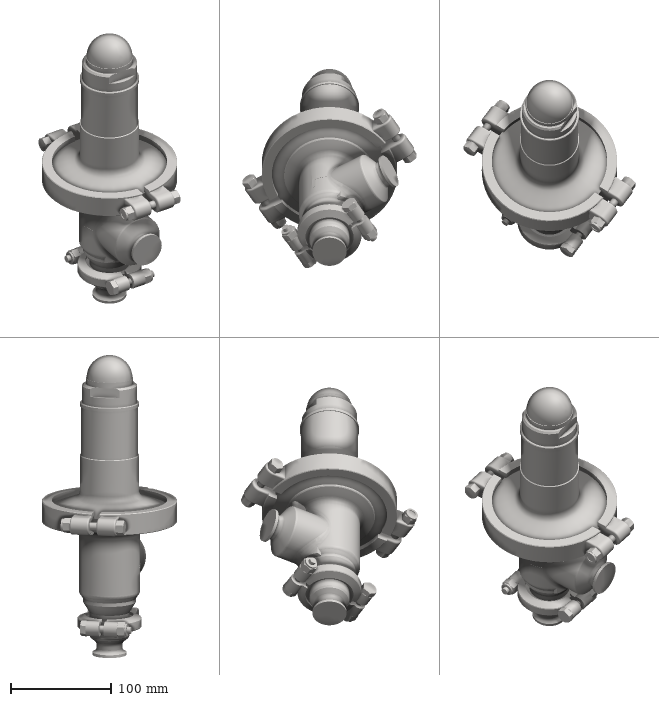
import cadquery as cq
import math

CAP_NECK_RADIUS = 23.5
CAP_RADIUS = 27.5
CAP_CHAMFER = 1.8
CAP_FLATS_WIDTH = 46.0
CAP_FLATS_DEPTH = 9.3
TUBE_RADIUS = 28.6
COLLAR_RADIUS = 29.5
COLLAR_CHAMFER = 0.6
BONNET_FILLET_RADIUS = 34.7
BONNET_FLANGE_RADIUS = 59.5
BONNET_FILLET = 7.5
BODY_SHOULDER_RADIUS = 28.9
BODY_SHOULDER_ROUND = 6.0
BODY_TOP_FILLET_RADIUS = 34.4
BODY_RADIUS = 30.5
BODY_COLLAR_RADIUS = 45.3
BODY_COLLAR_CHAMFER = 0.8
LOWER_NECK_RADIUS = 26.5
BOTTOM_NECK_RADIUS = 20.0
LOWER_FLANGE_RADIUS = 25.25

TOP_Z = 305.0
DOME_BASE_Z = 282.0
CAP_TOP_Z = 276.5
COLLAR_TOP_Z = 257.6
COLLAR_BOTTOM_Z = 253.9
BONNET_TOP_Z = 204.2
BONNET_FILLET_TOP_Z = 167.8
BONNET_FILLET_BOTTOM_Z = 160.2
BONNET_CONE_SLOPE = 0.375
BONNET_FLANGE_BOTTOM_Z = 141.5
BODY_TOP_FILLET_END_Z = 129.5
BODY_TOP_Z = 124.0
BODY_COLLAR_BOTTOM_Z = 133.2
BODY_END_Z = 66.1
BODY_SHOULDER_Z = 61.5
LOWER_NECK_TOP_Z = 57.8
LOWER_NECK_BOTTOM_Z = 54.2
LOWER_CONE_BOTTOM_Z = 43.7

PORT_FLANGE_RADIUS = 17.0
PORT_NECK_RADIUS = 13.0
PORT_FLANGE_THICKNESS = 2.8
PORT_TAPER_LENGTH = 1.4
PORT_TAPER_RADIUS = 14.6
PORT_FILLET_LENGTH = 2.4
BOTTOM_PORT_NECK_END_Z = 10.5
BOTTOM_PORT_CONE_RADIUS = 14.3
BOTTOM_PORT_CONE_TOP_Z = 17.6
BOTTOM_PORT_CONE_BOTTOM_Z = 13.8
BOTTOM_PORT_CONE_TOP_RADIUS = 19.0
BOTTOM_PORT_SHOULDER_Z = 19.9
OUTLET_Z = 90.3
OUTLET_FACE_X = 70.0
OUTLET_RADIUS = 26.5
OUTLET_END_X = 52.5
OUTLET_CONE_END_X = 59.6
OUTLET_CONE_END_RADIUS = 14.3
OUTLET_NECK_END_X = 61.1
OUTLET_ROUND = 1.7
OUTLET_ROUND_DROP = 0.8

OUTLET_BLEND = 8.0
BLEND_CORE_BOTTOM_Z = 50.0
BLEND_START_X = 20.0
BLEND_END_X = 40.0
BLEND_LOW_Z = 55.0
BLEND_LOW_WIDTH = 38.0

WEB_OUTER_X = 43.5
WEB_THICKNESS = 12.0
WEB_EDGE_FILLET = 4.6

ARROW_WIDTH = 4.5
ARROW_RELIEF = 0.2
ARROW_BOTTOM_Z = 75.8
ARROW_TOP_Z = 92.5
ARROW_LEFT_X = -2.3
ARROW_RIGHT_X = 13.0
ARROW_BEND_RADIUS = 5.0

LARGE_CLAMP_BOTTOM_Z = 135.6
LARGE_CLAMP_TOP_Z = 157.6
LARGE_CLAMP_RADIUS = 67.5
LARGE_CLAMP_LIP_RADIUS = 57.5
LARGE_CLAMP_EDGE = 0.7
LARGE_LUG_X = 76.15
LARGE_LUG_RADIUS = 8.85
LARGE_LUG_END_Y = 23.3
LARGE_LUG_FILLET = 1.7
LARGE_CLAMP_GAP = 8.0
LARGE_BOLT_DIAMETER = 8.0
LARGE_HEX_WIDTH = 13.0
LARGE_HEAD_LENGTH = 7.7
LARGE_BOLT_END_Y = 32.0

SMALL_CLAMP_Z = 33.2
SMALL_CLAMP_HEIGHT = 15.4
SMALL_CLAMP_EDGE = 0.6
SMALL_CLAMP_RIM_HEIGHT = 9.2
SMALL_CLAMP_RADIUS = 32.0
SMALL_CLAMP_LIP_RADIUS = 24.0
SMALL_LUG_X = 34.4
SMALL_LUG_RADIUS = 7.6
SMALL_LUG_END_Y = 16.0
SMALL_CLAMP_GAP = 5.0
SMALL_BOLT_DIAMETER = 7.0
SMALL_HEX_WIDTH = 14.0
SMALL_HEAD_LENGTH = 5.6
SMALL_BOLT_END_Y = 29.0

HEX_CHAMFER = 0.8
NUT_LENGTH = 7.4
NUT_COLLAR_LENGTH = 1.9
NUT_COLLAR_DIAMETER = 13.0

flange_top_z = BONNET_FILLET_BOTTOM_Z - BONNET_CONE_SLOPE * (BONNET_FLANGE_RADIUS - BONNET_FILLET_RADIUS)
flange_lip_z = flange_top_z + BONNET_CONE_SLOPE * (BONNET_FLANGE_RADIUS - LARGE_CLAMP_LIP_RADIUS)

port_taper_end = PORT_FLANGE_THICKNESS + PORT_TAPER_LENGTH
port_neck_start = port_taper_end + PORT_FILLET_LENGTH

ferrule_bottom_z = SMALL_CLAMP_Z - SMALL_CLAMP_RIM_HEIGHT / 2
ferrule_top_z = SMALL_CLAMP_Z + SMALL_CLAMP_RIM_HEIGHT / 2


def turned_valve():
    """Everything on the valve that is round about the Z axis, from the bottom port up to the dome."""
    dome_radius = TOP_Z - DOME_BASE_Z
    dome_middle = dome_radius * math.sqrt(0.5)
    profile = (
        cq.Workplane("XZ")
        .moveTo(0, 0)
        .lineTo(PORT_FLANGE_RADIUS, 0)
        .lineTo(PORT_FLANGE_RADIUS, PORT_FLANGE_THICKNESS)
        .lineTo(PORT_TAPER_RADIUS, port_taper_end)
        .tangentArcPoint((PORT_NECK_RADIUS, port_neck_start), relative=False)
        .lineTo(PORT_NECK_RADIUS, BOTTOM_PORT_NECK_END_Z)
        .tangentArcPoint((BOTTOM_PORT_CONE_RADIUS, BOTTOM_PORT_CONE_BOTTOM_Z), relative=False)
        .lineTo(BOTTOM_PORT_CONE_TOP_RADIUS, BOTTOM_PORT_CONE_TOP_Z)
        .lineTo(BOTTOM_NECK_RADIUS, BOTTOM_PORT_SHOULDER_Z)
        .lineTo(BOTTOM_NECK_RADIUS, ferrule_bottom_z)
        .lineTo(LOWER_FLANGE_RADIUS, ferrule_bottom_z)
        .lineTo(LOWER_FLANGE_RADIUS, ferrule_top_z)
        .lineTo(BOTTOM_NECK_RADIUS, ferrule_top_z)
        .lineTo(BOTTOM_NECK_RADIUS, LOWER_CONE_BOTTOM_Z)
        .lineTo(LOWER_NECK_RADIUS, LOWER_NECK_BOTTOM_Z)
        .lineTo(LOWER_NECK_RADIUS, LOWER_NECK_TOP_Z)
        .lineTo(BODY_SHOULDER_RADIUS, BODY_SHOULDER_Z)
        .radiusArc((BODY_RADIUS, BODY_END_Z), -BODY_SHOULDER_ROUND)
        .lineTo(BODY_RADIUS, BODY_TOP_Z)
        .tangentArcPoint((BODY_TOP_FILLET_RADIUS, BODY_TOP_FILLET_END_Z), relative=False)
        .lineTo(BODY_COLLAR_RADIUS - BODY_COLLAR_CHAMFER, BODY_COLLAR_BOTTOM_Z)
        .lineTo(BODY_COLLAR_RADIUS, BODY_COLLAR_BOTTOM_Z + BODY_COLLAR_CHAMFER)
        .lineTo(BODY_COLLAR_RADIUS, LARGE_CLAMP_BOTTOM_Z)
        .lineTo(BONNET_FLANGE_RADIUS, BONNET_FLANGE_BOTTOM_Z)
        .lineTo(BONNET_FLANGE_RADIUS, flange_top_z)
        .lineTo(BONNET_FILLET_RADIUS, BONNET_FILLET_BOTTOM_Z)
        .radiusArc((COLLAR_RADIUS, BONNET_FILLET_TOP_Z), BONNET_FILLET)
        .lineTo(COLLAR_RADIUS, BONNET_TOP_Z - COLLAR_CHAMFER)
        .lineTo(TUBE_RADIUS, BONNET_TOP_Z)
        .lineTo(TUBE_RADIUS, COLLAR_BOTTOM_Z)
        .lineTo(COLLAR_RADIUS, COLLAR_BOTTOM_Z)
        .lineTo(COLLAR_RADIUS, COLLAR_TOP_Z - COLLAR_CHAMFER)
        .lineTo(COLLAR_RADIUS - COLLAR_CHAMFER, COLLAR_TOP_Z)
        .lineTo(CAP_RADIUS, COLLAR_TOP_Z)
        .lineTo(CAP_RADIUS, CAP_TOP_Z - CAP_CHAMFER)
        .lineTo(CAP_RADIUS - CAP_CHAMFER, CAP_TOP_Z)
        .lineTo(CAP_NECK_RADIUS, CAP_TOP_Z)
        .lineTo(CAP_NECK_RADIUS, DOME_BASE_Z)
        .lineTo(dome_radius, DOME_BASE_Z)
        .threePointArc((dome_middle, DOME_BASE_Z + dome_middle), (0, TOP_Z))
        .close()
    )
    return profile.revolve(360, (0, 0, 0), (0, 1, 0))


def outlet_with_blend():
    """Round outlet pipe with a rounded blend into the cylinder of the body."""
    body_core = (
        cq.Workplane("XY", origin=(0, 0, BLEND_CORE_BOTTOM_Z))
        .circle(BODY_RADIUS)
        .extrude(BODY_TOP_Z - BLEND_CORE_BOTTOM_Z)
    )
    pipe = cq.Workplane("YZ", origin=(0, 0, OUTLET_Z)).circle(OUTLET_RADIUS)
    pipe = pipe.extrude(OUTLET_END_X - OUTLET_ROUND)
    seam = cq.selectors.BoxSelector(
        (1, -BODY_RADIUS, OUTLET_Z - OUTLET_RADIUS - 1),
        (BODY_RADIUS + 1, BODY_RADIUS, OUTLET_Z + OUTLET_RADIUS + 1),
    )
    joined = body_core.union(pipe).edges(seam).edges("not(%CIRCLE or %LINE)").fillet(OUTLET_BLEND)
    pipe_bottom_z = OUTLET_Z - OUTLET_RADIUS
    pipe_side = (
        cq.Workplane("XY", origin=(0, 0, BODY_END_Z))
        .rect(2 * OUTLET_END_X, 2 * BODY_RADIUS)
        .extrude(BODY_TOP_Z - BODY_END_Z)
    )
    low_wedge = (
        cq.Workplane("XZ")
        .moveTo(BLEND_START_X, BODY_END_Z)
        .lineTo(BLEND_START_X, BLEND_LOW_Z)
        .lineTo(BLEND_END_X, pipe_bottom_z)
        .lineTo(OUTLET_END_X, pipe_bottom_z)
        .lineTo(OUTLET_END_X, BODY_END_Z)
        .close()
        .extrude(BLEND_LOW_WIDTH / 2, both=True)
    )
    keep = pipe_side.union(low_wedge)
    return joined.intersect(keep)


def outlet_port():
    """Rounded end of the outlet pipe, its cone, narrow neck and flange."""
    profile = (
        cq.Workplane("XZ", origin=(0, 0, OUTLET_Z))
        .moveTo(OUTLET_END_X - 2 * OUTLET_ROUND, 0)
        .lineTo(OUTLET_END_X - 2 * OUTLET_ROUND, OUTLET_RADIUS)
        .lineTo(OUTLET_END_X - OUTLET_ROUND, OUTLET_RADIUS)
        .tangentArcPoint((OUTLET_END_X, OUTLET_RADIUS - OUTLET_ROUND_DROP), relative=False)
        .lineTo(OUTLET_CONE_END_X, OUTLET_CONE_END_RADIUS)
        .tangentArcPoint((OUTLET_NECK_END_X, PORT_NECK_RADIUS), relative=False)
        .lineTo(OUTLET_FACE_X - port_neck_start, PORT_NECK_RADIUS)
        .tangentArcPoint((OUTLET_FACE_X - port_taper_end, PORT_TAPER_RADIUS), relative=False)
        .lineTo(OUTLET_FACE_X - PORT_FLANGE_THICKNESS, PORT_FLANGE_RADIUS)
        .lineTo(OUTLET_FACE_X, PORT_FLANGE_RADIUS)
        .lineTo(OUTLET_FACE_X, 0)
        .close()
    )
    return profile.revolve(360, (0, 0, 0), (1, 0, 0))


def web():
    """Rounded rib that ties the outlet pipe to the underside of the body collar."""
    return (
        cq.Workplane("XY", origin=(WEB_OUTER_X / 2, 0, OUTLET_Z))
        .rect(WEB_OUTER_X, WEB_THICKNESS)
        .extrude(LARGE_CLAMP_BOTTOM_Z - OUTLET_Z)
        .edges("|Z and >X")
        .fillet(WEB_EDGE_FILLET)
    )


def flow_arrow():
    """Bent raised stroke on the -Y side of the body."""
    skin = BODY_RADIUS + ARROW_RELIEF
    stroke = (
        cq.Workplane("XZ")
        .moveTo(ARROW_LEFT_X, ARROW_BOTTOM_Z)
        .lineTo(ARROW_LEFT_X, ARROW_TOP_Z - ARROW_BEND_RADIUS)
        .radiusArc((ARROW_LEFT_X + ARROW_BEND_RADIUS, ARROW_TOP_Z), ARROW_BEND_RADIUS)
        .lineTo(ARROW_RIGHT_X, ARROW_TOP_Z)
        .lineTo(ARROW_RIGHT_X, ARROW_TOP_Z - ARROW_WIDTH)
        .lineTo(ARROW_LEFT_X + ARROW_WIDTH, ARROW_TOP_Z - ARROW_WIDTH)
        .lineTo(ARROW_LEFT_X + ARROW_WIDTH, ARROW_BOTTOM_Z)
        .close()
        .extrude(skin + 1)
    )
    shell = (
        cq.Workplane("XY", origin=(0, 0, ARROW_BOTTOM_Z))
        .circle(skin)
        .circle(skin - 1)
        .extrude(ARROW_TOP_Z - ARROW_BOTTOM_Z)
    )
    return stroke.intersect(shell)


def cap_flats():
    """Material outside the two wrench flats of the cap."""
    slab = cq.Workplane("XY", origin=(0, 0, CAP_TOP_Z - CAP_FLATS_DEPTH))
    outer = slab.rect(2 * COLLAR_RADIUS, 2 * COLLAR_RADIUS).extrude(CAP_FLATS_DEPTH)
    inner = slab.rect(CAP_FLATS_WIDTH, 2 * COLLAR_RADIUS).extrude(CAP_FLATS_DEPTH)
    return outer.cut(inner)


def disc(radius, bottom_z, top_z):
    """Cylinder on the Z axis from bottom_z to top_z."""
    return cq.Workplane("XY", origin=(0, 0, bottom_z)).circle(radius).extrude(top_z - bottom_z)


def rod_along_y(radius, start_y, end_y):
    """Cylinder on the Y axis from start_y to end_y."""
    return cq.Workplane("XZ", origin=(0, start_y, 0)).circle(radius).extrude(start_y - end_y)


def hexagon_along_y(width, length):
    """Chamfered hexagon from the XZ plane towards +Y, with flats facing -X and +X."""
    corner_diameter = width / math.cos(math.pi / 6)
    hexagon = (
        cq.Workplane("XZ")
        .transformed(rotate=(0, 0, 90))
        .polygon(6, corner_diameter)
        .extrude(-length)
    )
    envelope = rod_along_y(corner_diameter / 2, 0, length).faces(">Y").chamfer(HEX_CHAMFER)
    return hexagon.intersect(envelope)


def bolt(diameter, hex_width, lug_end_y, head_length, end_y):
    """Bolt and nut on the Y axis, with the head at +Y and the nut at -Y; the shank ends at -end_y."""
    nut_end_y = lug_end_y + NUT_LENGTH
    collar_end_y = nut_end_y + NUT_COLLAR_LENGTH
    head = hexagon_along_y(hex_width, head_length).translate((0, lug_end_y, 0))
    nut = hexagon_along_y(hex_width, NUT_LENGTH).mirror("XZ").translate((0, -lug_end_y, 0))
    collar = rod_along_y(NUT_COLLAR_DIAMETER / 2, -collar_end_y, -nut_end_y)
    bore = rod_along_y(diameter / 2, -collar_end_y, -nut_end_y)
    shank = rod_along_y(diameter / 2, -end_y, lug_end_y)
    return head.union(nut).union(collar.cut(bore)).union(shank)


def both_sides(part, x, z):
    """Place a part on the -X side and, turned half a turn about Z, on the +X side."""
    placed = part.translate((-x, 0, z))
    return [placed, placed.rotate((0, 0, 0), (0, 0, 1), 180)]


def make_valve():
    """Body 1: the valve with its outlet."""
    valve = turned_valve().cut(cap_flats())
    for feature in (outlet_with_blend(), outlet_port(), web(), flow_arrow()):
        valve = valve.union(feature)
    return valve


def large_lug():
    """Pair of eyes in one bar along Y, reaching in to the ring."""
    reach = LARGE_LUG_X - BONNET_FLANGE_RADIUS
    eye_length = LARGE_LUG_END_Y - LARGE_CLAMP_GAP / 2
    eye = (
        cq.Workplane("XZ", origin=(0, -LARGE_CLAMP_GAP / 2, 0))
        .moveTo(reach, LARGE_LUG_RADIUS)
        .lineTo(0, LARGE_LUG_RADIUS)
        .threePointArc((-LARGE_LUG_RADIUS, 0), (0, -LARGE_LUG_RADIUS))
        .lineTo(reach, -LARGE_LUG_RADIUS)
        .close()
        .extrude(eye_length)
    )
    front = eye.faces("<Y or >Y").edges("not >X").fillet(LARGE_LUG_FILLET)
    return front.union(front.mirror("XZ"))


def make_large_clamp():
    """Body 2: split clamp around the bonnet flange, with its two bolts."""
    middle_z = (LARGE_CLAMP_BOTTOM_Z + LARGE_CLAMP_TOP_Z) / 2
    ring = disc(LARGE_CLAMP_RADIUS, LARGE_CLAMP_BOTTOM_Z, LARGE_CLAMP_TOP_Z)
    clamp = ring.faces("<Z or >Z").edges().chamfer(LARGE_CLAMP_EDGE)
    gap = cq.Workplane("XY").box(2 * LARGE_CLAMP_RADIUS, LARGE_CLAMP_GAP, TOP_Z)
    clamp = clamp.cut(gap.translate((0, 0, middle_z)))
    for lug in both_sides(large_lug(), LARGE_LUG_X, middle_z):
        clamp = clamp.union(lug)
    clamp = clamp.cut(disc(LARGE_CLAMP_LIP_RADIUS, LARGE_CLAMP_BOTTOM_Z, LARGE_CLAMP_TOP_Z))
    groove = (
        cq.Workplane("XZ")
        .moveTo(0, LARGE_CLAMP_BOTTOM_Z)
        .lineTo(BODY_COLLAR_RADIUS, LARGE_CLAMP_BOTTOM_Z)
        .lineTo(BONNET_FLANGE_RADIUS, BONNET_FLANGE_BOTTOM_Z)
        .lineTo(BONNET_FLANGE_RADIUS, flange_top_z)
        .lineTo(LARGE_CLAMP_LIP_RADIUS, flange_lip_z)
        .lineTo(0, flange_lip_z)
        .close()
        .revolve(360, (0, 0, 0), (0, 1, 0))
    )
    clamp = clamp.cut(groove)
    fastener = bolt(
        LARGE_BOLT_DIAMETER, LARGE_HEX_WIDTH, LARGE_LUG_END_Y, LARGE_HEAD_LENGTH, LARGE_BOLT_END_Y
    )
    fastener = fastener.mirror("XZ")
    for placed in both_sides(fastener, LARGE_LUG_X, middle_z):
        clamp = clamp.union(placed)
    return clamp


def make_small_clamp():
    """Body 3: split clamp around the lower ferrules, with its two bolts."""
    half_rim = SMALL_CLAMP_RIM_HEIGHT / 2
    half_height = SMALL_CLAMP_HEIGHT / 2
    clamp = (
        cq.Workplane("XZ", origin=(0, 0, SMALL_CLAMP_Z))
        .moveTo(0, -half_height)
        .lineTo(SMALL_CLAMP_LIP_RADIUS, -half_height)
        .lineTo(SMALL_CLAMP_RADIUS, -half_rim)
        .lineTo(SMALL_CLAMP_RADIUS, half_rim)
        .lineTo(SMALL_CLAMP_LIP_RADIUS, half_height)
        .lineTo(0, half_height)
        .close()
        .revolve(360, (0, 0, 0), (0, 1, 0))
        .edges(cq.selectors.RadiusNthSelector(-1))
        .chamfer(SMALL_CLAMP_EDGE)
    )
    lug = rod_along_y(SMALL_LUG_RADIUS, -SMALL_LUG_END_Y, SMALL_LUG_END_Y)
    for eye in both_sides(lug, SMALL_LUG_X, SMALL_CLAMP_Z):
        clamp = clamp.union(eye)
    gap = cq.Workplane("XY").box(3 * SMALL_CLAMP_RADIUS, SMALL_CLAMP_GAP, SMALL_CLAMP_HEIGHT + 1)
    clamp = clamp.cut(gap.translate((0, 0, SMALL_CLAMP_Z)))
    clamp = clamp.cut(disc(SMALL_CLAMP_LIP_RADIUS, SMALL_CLAMP_Z - half_height, SMALL_CLAMP_Z + half_height))
    clamp = clamp.cut(disc(LOWER_FLANGE_RADIUS, ferrule_bottom_z, ferrule_top_z))
    fastener = bolt(
        SMALL_BOLT_DIAMETER, SMALL_HEX_WIDTH, SMALL_LUG_END_Y, SMALL_HEAD_LENGTH, SMALL_BOLT_END_Y
    )
    for placed in both_sides(fastener, SMALL_LUG_X, SMALL_CLAMP_Z):
        clamp = clamp.union(placed)
    return clamp


valve = make_valve()
large_clamp = make_large_clamp()
small_clamp = make_small_clamp()
result = cq.Compound.makeCompound([valve.val(), large_clamp.val(), small_clamp.val()])